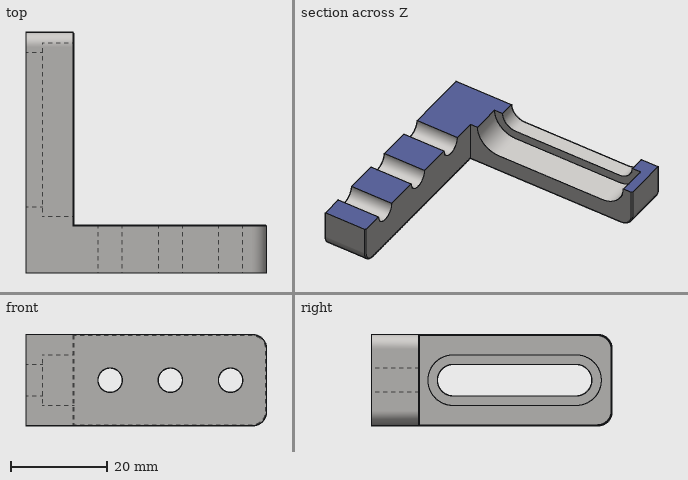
import cadquery as cq

leg_length = 50.0
height = 19.0
thickness = 10.0
corner_radius = 3.0
mid_height = height / 2

hole_diameter = 5.0
hole_pitch = 12.5
hole_count = 3
first_hole_x = 17.5

slot_width = 6.5
slot_length = 32.0
slot_center_y = 29.75
slot_step_depth = 3.5

recess_margin = 2.0
recess_width = slot_width + 2 * recess_margin
recess_length = slot_length + 2 * recess_margin

rim_chamfer = 0.25


def make_leg():
    """Leg along X with rounded free-end corners and a beveled inner rim."""
    leg = cq.Workplane("XY").box(leg_length, thickness, height, centered=False)
    leg = leg.edges("|Y and >X").fillet(corner_radius)
    rim = leg.faces(">Y").edges("not <X")
    return rim.chamfer(rim_chamfer)


def make_holes():
    """Row of round cutters running along Y."""
    centers = [(first_hole_x + i * hole_pitch, mid_height) for i in range(hole_count)]
    return cq.Workplane("XZ").pushPoints(centers).circle(hole_diameter / 2).extrude(-thickness)


def make_slot(length, width, start_x):
    """Round-ended cutter running along X from start_x to the inner face."""
    return (
        cq.Workplane("YZ", origin=(start_x, slot_center_y, mid_height))
        .slot2D(length, width)
        .extrude(thickness - start_x)
    )


leg_x = make_leg()
leg_y = leg_x.mirror("YZ").rotate((0, 0, 0), (0, 0, 1), -90)

result = (
    leg_x.union(leg_y)
    .cut(make_holes())
    .cut(make_slot(slot_length, slot_width, 0))
    .cut(make_slot(recess_length, recess_width, slot_step_depth))
)